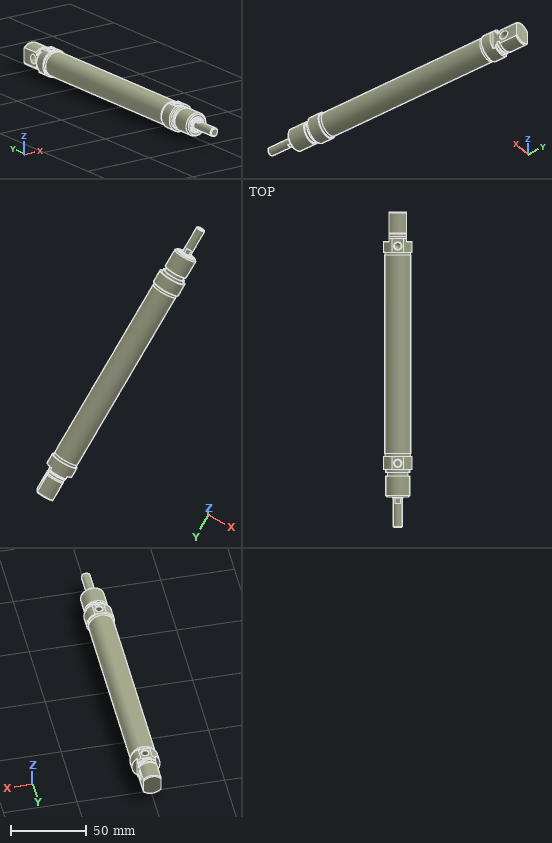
import cadquery as cq
import math

rear_end = 104.5
rod_tip = -104.5

barrel_d = 17.3
barrel_rear = 75.9
barrel_front = -55.5

collar_d = 19.0
step_d = 17.1
neck_length = 1.9
nose_d = 16.0
groove_d = 13.8
groove_width = 2.5
rear_groove_taper = 0.8
nose_chamfer = 0.6
port_flat_z = barrel_d / 2
port_d = 5.5
port_core_d = 4.5
port_chamfer = (port_d - port_core_d) / 2
port_depth = 6.3
drill_point_angle = 118.0

rear_collar_inner = barrel_rear + neck_length
rear_collar_outer = 87.0
rear_groove_outer = 90.7
rear_groove_inner = rear_groove_outer - groove_width
rear_port_y = 82.0
clevis_width = 12.0
clevis_shoulder = 84.9
clevis_hole_d = 6.5
clevis_hole_y = 93.6

front_collar_inner = barrel_front - neck_length
front_collar_outer = -66.3
front_groove_inner = -68.1
front_groove_outer = front_groove_inner - groove_width
front_port_y = -62.0
front_nose_end = -84.5
front_nose_chamfer = 1.0
recess_d = 11.0
recess_depth = 1.7
lip_base_d = 9.0
lip_tip_d = 7.1
lip_projection = 0.6

rod_d = 6.0
rod_chamfer = 0.6
wrench_width = 5.0
wrench_front = -88.6


def revolve_profile(points):
    """Turn a closed (radius, y) profile about the Y axis."""
    return cq.Workplane("XY").polyline(points).close().revolve(360, (0, 0, 0), (0, 1, 0))


def cylinder_y(diameter, y_start, y_end):
    return revolve_profile([(0, y_start), (diameter / 2, y_start), (diameter / 2, y_end), (0, y_end)])


def cut_port(cap, collar_end_a, collar_end_b, port_y):
    """Flatten the top of a collar and drill a chamfered, pointed port into it."""
    flat_cutter = cq.Workplane("XY").box(
        collar_d, abs(collar_end_b - collar_end_a), collar_d, centered=(True, True, False)
    ).translate((0, (collar_end_a + collar_end_b) / 2, port_flat_z))
    core_r = port_core_d / 2
    floor_z = port_flat_z - port_depth
    point_z = floor_z - core_r / math.tan(math.radians(drill_point_angle / 2))
    port_cutter = (
        cq.Workplane("XZ")
        .polyline([
            (0, port_flat_z),
            (port_d / 2, port_flat_z),
            (core_r, port_flat_z - port_chamfer),
            (core_r, floor_z),
            (0, point_z),
        ])
        .close()
        .revolve(360, (0, 0, 0), (0, 1, 0))
        .translate((0, port_y, 0))
    )
    return cap.cut(flat_cutter).cut(port_cutter)


def make_rear_cap():
    cap = revolve_profile([
        (0, barrel_rear),
        (step_d / 2, barrel_rear),
        (step_d / 2, rear_collar_inner),
        (collar_d / 2, rear_collar_inner),
        (collar_d / 2, rear_collar_outer),
        (nose_d / 2, rear_collar_outer),
        (nose_d / 2, rear_groove_inner),
        (groove_d / 2, rear_groove_inner),
        (groove_d / 2, rear_groove_outer - rear_groove_taper),
        (nose_d / 2, rear_groove_outer),
        (nose_d / 2, rear_end - nose_chamfer),
        (nose_d / 2 - nose_chamfer, rear_end),
        (0, rear_end),
    ])
    cap = cut_port(cap, rear_collar_inner, rear_collar_outer, rear_port_y)

    cheek_length = rear_end - clevis_shoulder
    for side in (-1, 1):
        cheek_cutter = cq.Workplane("XY").box(collar_d, cheek_length, 2 * collar_d).translate(
            (side * (clevis_width + collar_d) / 2, clevis_shoulder + cheek_length / 2, 0)
        )
        cap = cap.cut(cheek_cutter)

    pivot_hole = (
        cq.Workplane("YZ").center(clevis_hole_y, 0).circle(clevis_hole_d / 2).extrude(collar_d, both=True)
    )
    return cap.cut(pivot_hole)


def make_front_cap():
    recess_floor = front_nose_end + recess_depth
    cap = revolve_profile([
        (0, barrel_front),
        (step_d / 2, barrel_front),
        (step_d / 2, front_collar_inner),
        (collar_d / 2, front_collar_inner),
        (collar_d / 2, front_collar_outer),
        (nose_d / 2, front_collar_outer),
        (nose_d / 2, front_groove_inner),
        (groove_d / 2, front_groove_inner),
        (groove_d / 2, front_groove_outer),
        (nose_d / 2, front_groove_outer),
        (nose_d / 2, front_nose_end + front_nose_chamfer),
        (nose_d / 2 - front_nose_chamfer, front_nose_end),
        (recess_d / 2, front_nose_end),
        (recess_d / 2, recess_floor),
        (lip_base_d / 2, recess_floor),
        (lip_base_d / 2, front_nose_end),
        (lip_tip_d / 2, front_nose_end),
        (lip_tip_d / 2, front_nose_end - lip_projection),
        (0, front_nose_end - lip_projection),
    ])
    cap = cut_port(cap, front_collar_inner, front_collar_outer, front_port_y)
    return cap.cut(cylinder_y(rod_d, rod_tip, barrel_front))


def make_rod():
    rod = cylinder_y(rod_d, rod_tip, barrel_front).faces("<Y").chamfer(rod_chamfer)
    flat_length = front_nose_end - lip_projection - wrench_front
    for side in (-1, 1):
        flat_cutter = cq.Workplane("XY").box(rod_d, flat_length, rod_d).translate(
            (0, wrench_front + flat_length / 2, side * (wrench_width + rod_d) / 2)
        )
        rod = rod.cut(flat_cutter)
    return rod


barrel = cylinder_y(barrel_d, barrel_front, barrel_rear)
rear_cap = make_rear_cap()
front_cap = make_front_cap()
rod = make_rod()

result = cq.Compound.makeCompound([barrel.val(), rear_cap.val(), front_cap.val(), rod.val()])